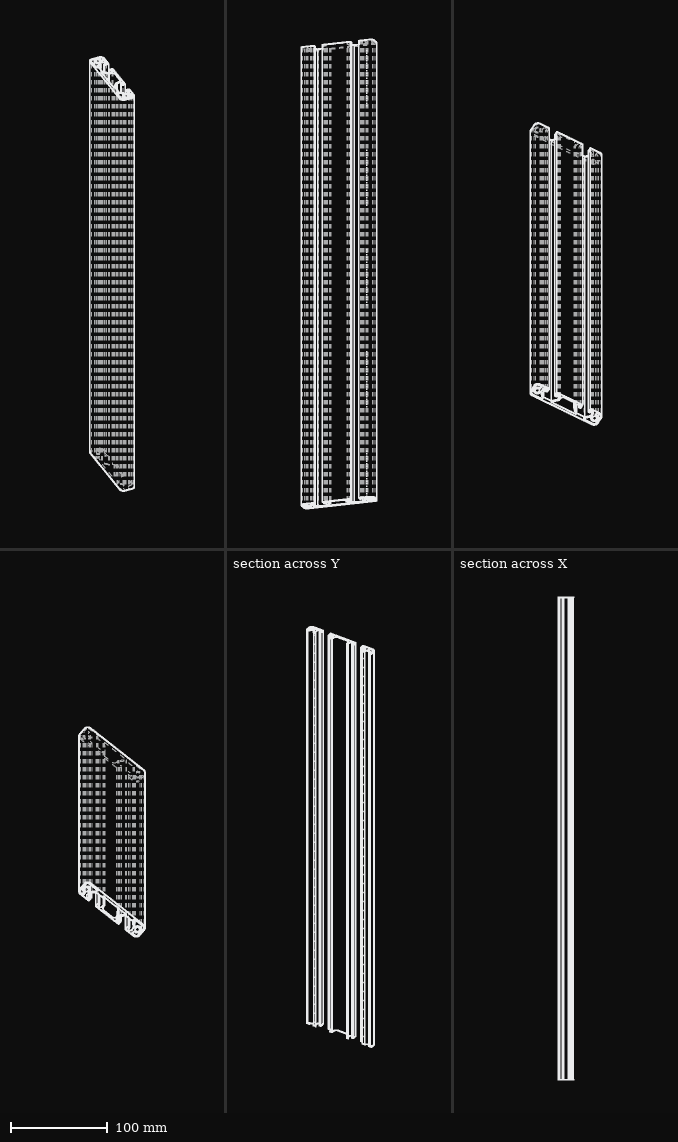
import cadquery as cq
import math

WIDTH = 80.0
DEPTH = 16.0
LENGTH = 500.0
CORNER_RADIUS = 4.0
BACK = DEPTH / 2
FRONT = -DEPTH / 2

END_SKIN = 1.4
SLOT_WALL = 1.3
CENTRE_CEILING = 1.7
CENTRE_FLOOR = 2.8

SLOT_X = 20.0
SLOT_OPENING = 9.2
SLOT_WIDTH = 20.0
SLOT_DEPTH = 11.9
SLOT_FLOOR_WIDTH = SLOT_OPENING
SLOT_FLOOR = BACK - SLOT_DEPTH
SLOT_SIDE_FOOT = SLOT_FLOOR + (SLOT_WIDTH - SLOT_FLOOR_WIDTH) / 2
LIP_DEPTH = 4.6
LIP_WIDTH = 2.0
LIP_ROOT_DEPTH = 2.0
LIP_ROOT_RADIUS = 1.4

SLOPED_WALL_RUN = SLOT_WALL * math.sqrt(2)

CAVITY_TOP_RADIUS = 3.2
CAVITY_SHOULDER = 0.9
CAVITY_SHOULDER_HALF = 9.3

CHANNEL_X = 34.2
CHANNEL_BORE = 4.8
CHANNEL_OUTER = 7.6
HOLLOW_INNER_X = 33.0
HOLLOW_FOOT_X = 24.8


def prism(points):
    """Extrude a closed polygon over the full length of the bar."""
    return cq.Workplane("XY").polyline(points).close().extrude(LENGTH)


def cylinder(x, diameter):
    """A full-length round bar on the mid-depth plane."""
    return cq.Workplane("XY").center(x, 0).circle(diameter / 2).extrude(LENGTH)


def mirrored(half):
    """Close a right-hand outline with its mirror image about X = 0."""
    return half + [(-x, y) for x, y in reversed(half)]


def blank():
    bar = cq.Workplane("XY").rect(WIDTH, DEPTH).extrude(LENGTH)
    return bar.edges("|Z").fillet(CORNER_RADIUS)


def slot_cutter():
    """T-slot void centred on X = 0: the neck between the lips and the undercut below it."""
    side = SLOT_WIDTH / 2
    lip_tip = SLOT_OPENING / 2
    lip_back = lip_tip + LIP_WIDTH
    ceiling = BACK - LIP_ROOT_DEPTH
    lip_bottom = BACK - LIP_DEPTH
    undercut = prism(mirrored([
        (side, ceiling),
        (side, SLOT_SIDE_FOOT),
        (SLOT_FLOOR_WIDTH / 2, SLOT_FLOOR),
    ]))
    undercut = undercut.faces(">Y").edges("|Z").fillet(LIP_ROOT_RADIUS)
    neck = prism(mirrored([(lip_tip, BACK), (lip_tip, lip_bottom)]))
    for sign in (-1, 1):
        lip = prism([
            (sign * lip_tip, BACK),
            (sign * lip_tip, lip_bottom),
            (sign * lip_back, lip_bottom),
            (sign * lip_back, BACK),
        ])
        undercut = undercut.cut(lip)
    return undercut.union(neck)


def centre_cavity():
    top_half = SLOT_X - SLOT_WIDTH / 2 - SLOT_WALL
    floor = FRONT + CENTRE_FLOOR
    slot_slope_sum = SLOT_X - SLOT_FLOOR_WIDTH / 2 + SLOT_FLOOR
    slope_sum = slot_slope_sum - SLOPED_WALL_RUN
    cavity = prism(mirrored([
        (top_half, BACK - CENTRE_CEILING),
        (top_half, CAVITY_SHOULDER),
        (CAVITY_SHOULDER_HALF, CAVITY_SHOULDER),
        (CAVITY_SHOULDER_HALF, slope_sum - CAVITY_SHOULDER_HALF),
        (slope_sum - floor, floor),
    ]))
    return cavity.faces(">Y").edges("|Z").fillet(CAVITY_TOP_RADIUS)


def end_hollow():
    """Void of the right-hand end, with the screw channel left standing in it."""
    outer = WIDTH / 2 - END_SKIN
    ceiling = BACK - END_SKIN
    floor = FRONT + END_SKIN
    slope_difference = SLOT_X + SLOT_FLOOR_WIDTH / 2 - SLOT_FLOOR + SLOPED_WALL_RUN
    pocket = prism([
        (outer, ceiling),
        (outer, floor),
        (HOLLOW_FOOT_X, floor),
        (HOLLOW_FOOT_X, HOLLOW_FOOT_X - slope_difference),
        (HOLLOW_INNER_X, HOLLOW_INNER_X - slope_difference),
        (HOLLOW_INNER_X, ceiling),
    ])
    pocket = pocket.edges("|Z and >X").fillet(CORNER_RADIUS - END_SKIN)
    bore = cylinder(CHANNEL_X, CHANNEL_BORE)
    return pocket.cut(cylinder(CHANNEL_X, CHANNEL_OUTER)).union(bore)


result = blank().cut(centre_cavity())
for slot_x in (-SLOT_X, SLOT_X):
    result = result.cut(slot_cutter().translate((slot_x, 0, 0)))
right_hollow = end_hollow()
result = result.cut(right_hollow).cut(right_hollow.mirror("YZ"))
result = result.translate((0, 0, -LENGTH / 2))